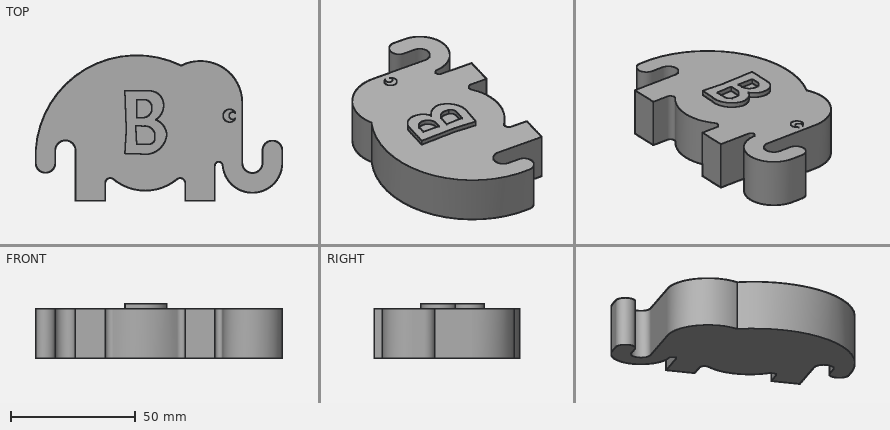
import cadquery as cq
import math

length = 99.05
thickness = 20.0
limb_width = 8.0
leg_width = 12.0
trunk_slot_width = 3.0
tail_center_y = 15.3
trunk_center_y = 15.3
trunk_slot_center_y = 14.2
slot_end_y = 20.2
belly_bottom_y = 4.1
belly_radius = 20.0
belly_fillet_radius = 2.0
back_center_y = 17.8
back_radius = 40.6
back_center_x = back_radius
head_radius = 16.8
head_center_y = 39.3

letter_height = 2.0
eye_depth = 2.0
eye_x = 77.9
eye_y = 34.2
eye_radius = 2.6
pupil_radius = 1.5
pupil_offset = 1.3

limb_radius = limb_width / 2
rear_leg_left = 2 * limb_width
rear_leg_right = rear_leg_left + leg_width
trunk_tip_left = length - limb_width
face_x = trunk_tip_left - limb_width
trunk_left = face_x - limb_width
front_leg_right = trunk_left - trunk_slot_width
front_leg_left = front_leg_right - leg_width


def offset_point(center, radius, direction):
    """Point at a radius from a center, toward a direction vector."""
    size = math.hypot(*direction)
    return (center[0] + radius * direction[0] / size, center[1] + radius * direction[1] / size)


def circle_crossing(center_a, radius_a, center_b, radius_b):
    """Crossing point of two circles that lies to the left of the way from a to b."""
    dx = center_b[0] - center_a[0]
    dy = center_b[1] - center_a[1]
    distance = math.hypot(dx, dy)
    along = (radius_a**2 - radius_b**2 + distance**2) / (2 * distance)
    aside = math.sqrt(radius_a**2 - along**2)
    return (
        center_a[0] + (along * dx - aside * dy) / distance,
        center_a[1] + (along * dy + aside * dx) / distance,
    )


def elephant_blank():
    """Flat elephant, outlined counterclockwise from the tail."""
    belly_center = ((rear_leg_right + front_leg_left) / 2, belly_bottom_y + belly_radius)
    fillet_reach = belly_center[0] - rear_leg_right - belly_fillet_radius
    fillet_drop = math.sqrt((belly_radius + belly_fillet_radius) ** 2 - fillet_reach**2)
    fillet_y = belly_center[1] - fillet_drop
    rear_fillet = (rear_leg_right + belly_fillet_radius, fillet_y)
    front_fillet = (front_leg_left - belly_fillet_radius, fillet_y)
    belly_start = offset_point(belly_center, belly_radius, (-fillet_reach, -fillet_drop))
    belly_end = offset_point(belly_center, belly_radius, (fillet_reach, -fillet_drop))

    trunk_x = face_x + limb_radius
    trunk_radius = limb_width + limb_radius
    slot_drop = trunk_center_y - trunk_slot_center_y
    trunk_start_x = trunk_x - math.sqrt(trunk_radius**2 - slot_drop**2)
    trunk_slot_x = (front_leg_right + trunk_start_x) / 2
    trunk_slot_top = trunk_slot_center_y + trunk_slot_width / 2

    head_center = (face_x - head_radius, head_center_y)
    back_center = (back_center_x, back_center_y)
    neck = circle_crossing(back_center, back_radius, head_center, head_radius)
    tail_rise = back_center_y - tail_center_y
    tail_start_x = back_center_x - math.sqrt(back_radius**2 - tail_rise**2)

    outline = (
        cq.Workplane("XY")
        .moveTo(tail_start_x, tail_center_y)
        .threePointArc((limb_radius, tail_center_y - limb_radius), (limb_width, tail_center_y))
        .lineTo(limb_width, slot_end_y)
        .threePointArc(
            (limb_width + limb_radius, slot_end_y + limb_radius), (rear_leg_left, slot_end_y)
        )
        .lineTo(rear_leg_left, 0)
        .lineTo(rear_leg_right, 0)
        .lineTo(rear_leg_right, fillet_y)
        .threePointArc(offset_point(rear_fillet, belly_fillet_radius, (0, 1)), belly_start)
        .threePointArc((belly_center[0], belly_bottom_y), belly_end)
        .threePointArc(
            offset_point(front_fillet, belly_fillet_radius, (0, 1)), (front_leg_left, fillet_y)
        )
        .lineTo(front_leg_left, 0)
        .lineTo(front_leg_right, 0)
        .lineTo(front_leg_right, trunk_slot_center_y)
        .threePointArc((trunk_slot_x, trunk_slot_top), (trunk_start_x, trunk_slot_center_y))
        .threePointArc((trunk_x, trunk_center_y - trunk_radius), (length, trunk_center_y))
        .lineTo(length, slot_end_y)
        .threePointArc(
            (length - limb_radius, slot_end_y + limb_radius), (trunk_tip_left, slot_end_y)
        )
        .lineTo(trunk_tip_left, trunk_center_y)
        .threePointArc((trunk_x, trunk_center_y - limb_radius), (face_x, trunk_center_y))
        .lineTo(face_x, head_center_y)
        .threePointArc(offset_point(head_center, head_radius, (1, 1)), neck)
        .threePointArc(offset_point(back_center, back_radius, (-1, 1)), (tail_start_x, tail_center_y))
        .close()
    )
    return outline.extrude(thickness)


def make_eye():
    """Crescent set flush into the top face."""
    bottom = cq.Workplane("XY").workplane(offset=thickness - eye_depth)
    disc = bottom.center(eye_x, eye_y).circle(eye_radius).extrude(eye_depth)
    pupil = bottom.center(eye_x + pupil_offset, eye_y).circle(pupil_radius).extrude(eye_depth)
    return disc.cut(pupil)


def make_letter():
    """Raised letter B with two counters, standing on the top face."""
    top = cq.Workplane("XY").workplane(offset=thickness)
    body = (
        top.moveTo(35.9, 44.2)
        .lineTo(36.45, 28.4)
        .lineTo(35.9, 19.0)
        .lineTo(42.2, 18.8)
        .threePointArc((49.3, 20.5), (52.7, 26.4))
        .threePointArc((51.3, 30.2), (48.2, 32.6))
        .threePointArc((50.5, 34.9), (51.4, 38.5))
        .threePointArc((50.0, 42.2), (46.5, 44.1))
        .close()
        .extrude(letter_height)
    )
    upper_counter = (
        top.moveTo(40.6, 40.6)
        .lineTo(44.0, 40.6)
        .threePointArc((45.9, 39.6), (46.8, 37.3))
        .threePointArc((45.7, 34.5), (43.2, 33.4))
        .lineTo(40.6, 33.4)
        .close()
        .extrude(letter_height)
    )
    lower_counter = (
        top.moveTo(40.2, 30.1)
        .lineTo(43.4, 30.0)
        .threePointArc((46.8, 28.9), (47.9, 26.8))
        .lineTo(47.9, 24.7)
        .threePointArc((47.2, 23.5), (45.8, 22.7))
        .lineTo(40.6, 22.7)
        .close()
        .extrude(letter_height)
    )
    return body.cut(upper_counter).cut(lower_counter)


eye = make_eye()
elephant = elephant_blank().cut(eye)
letter = make_letter()

result = cq.Compound.makeCompound([elephant.val(), eye.val(), letter.val()])